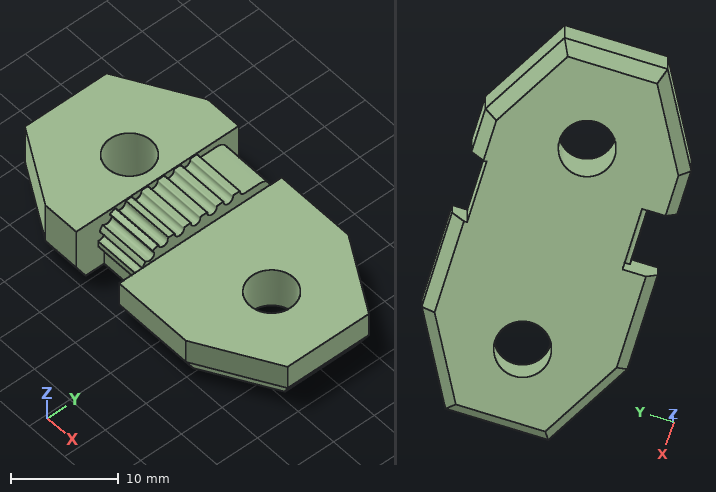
import cadquery as cq
import math

length = 37.1
width = 20.0
end_flat = 10.0
corner_angle = 30.0
corner_run = (width - end_flat) / 2 / math.tan(math.radians(corner_angle))
tall_height = 7.0
low_height = 4.97
bevel_height = 2.0
bevel_angle = 30.0
tall_length = 13.0
neck_length = 6.05
neck_start = -length / 2 + tall_length
neck_end = neck_start + neck_length

hole_diameter = 5.35
hole_spacing = 20.07
first_hole_x = -length / 2 + 9.0

tip_z = 6.85
tooth_depth = 0.75
tooth_pitch = 2.0
groove_radius = 0.55
tip_fillet = 0.15
groove_count = 9
first_groove_y = 5.45
tip_front_y = -7.3
wrap_radius = 3.0
neck_back_y = 8.55
back_radius = 1.3
root_z = tip_z - tooth_depth
wrap_center_y = tip_front_y + wrap_radius
wrap_center_z = tip_z - wrap_radius
wrap_lip_drop = 0.035


def hexagon_body():
    """Hexagonal plate whose lower rim tapers inward towards the bottom."""
    half_length = length / 2
    half_flat = end_flat / 2
    half_width = width / 2
    shoulder = half_length - corner_run
    outline = [
        (-half_length, -half_flat),
        (-shoulder, -half_width),
        (shoulder, -half_width),
        (half_length, -half_flat),
        (half_length, half_flat),
        (shoulder, half_width),
        (-shoulder, half_width),
        (-half_length, half_flat),
    ]
    rim = cq.Workplane("XY", origin=(0, 0, bevel_height)).polyline(outline).close()
    upper = rim.extrude(tall_height - bevel_height)
    rim = cq.Workplane("XY", origin=(0, 0, bevel_height)).polyline(outline).close()
    lower = rim.extrude(-bevel_height, taper=bevel_angle)
    return upper.union(lower)


def block(x_start, x_end, y_start, y_end, z_start, z_end):
    """Axis-aligned box given by its limits."""
    size = (x_end - x_start, y_end - y_start, z_end - z_start)
    return cq.Workplane("XY").box(*size, centered=False).translate((x_start, y_start, z_start))


def groove_place(distance):
    """Y, Z and tilt of the tooth tip surface at a distance from the first groove."""
    top_run = first_groove_y - wrap_center_y
    wrap_run = wrap_radius * math.pi / 2
    if distance <= top_run:
        return first_groove_y - distance, tip_z, 0.0
    if distance <= top_run + wrap_run:
        angle = (distance - top_run) / wrap_radius
        y = wrap_center_y - wrap_radius * math.sin(angle)
        z = wrap_center_z + wrap_radius * math.cos(angle)
        return y, z, math.degrees(angle)
    return tip_front_y, wrap_center_z - (distance - top_run - wrap_run), 90.0


def groove_cutter(lip_drop):
    """Round-bottomed groove along X, its rounded lips ending lip_drop below Z = 0."""
    lip = groove_radius + tip_fillet
    lip_mid = tip_fillet * (1 - math.sqrt(0.5))
    lip_z = -lip_drop
    groove_center_z = groove_radius - tooth_depth
    clearance = tip_fillet
    return (
        cq.Workplane("YZ", origin=(neck_start, 0, 0))
        .moveTo(-lip, clearance)
        .lineTo(-lip, lip_z)
        .threePointArc((-groove_radius - lip_mid, lip_z - lip_mid), (-groove_radius, lip_z - tip_fillet))
        .lineTo(-groove_radius, groove_center_z)
        .threePointArc((0, -tooth_depth), (groove_radius, groove_center_z))
        .lineTo(groove_radius, lip_z - tip_fillet)
        .threePointArc((groove_radius + lip_mid, lip_z - lip_mid), (lip, lip_z))
        .lineTo(lip, clearance)
        .close()
        .extrude(neck_length)
    )


def toothed_neck():
    """Neck with a flat belt seat, then teeth that wrap down over its front edge."""
    neck = block(neck_start, neck_end, tip_front_y, neck_back_y, 0, tip_z)
    neck = neck.edges("|X and >Z and <Y").fillet(wrap_radius)

    neck = neck.cut(block(neck_start, neck_end, first_groove_y, neck_back_y, root_z, tip_z))
    neck = neck.edges("|X and >Y").edges(">Z").fillet(back_radius)

    last_groove_z = groove_place((groove_count - 1) * tooth_pitch)[1]
    wall_y = tip_front_y + tooth_depth
    neck = neck.cut(block(neck_start, neck_end, tip_front_y, wall_y, 0, last_groove_z))

    for index in range(groove_count):
        y, z, tilt = groove_place(index * tooth_pitch)
        on_wrap = 0 < tilt < 90
        cutter = groove_cutter(wrap_lip_drop if on_wrap else 0).rotate((0, 0, 0), (1, 0, 0), tilt)
        neck = neck.cut(cutter.translate((0, y, z)))
    return neck


half_y = width / 2
result = hexagon_body()
result = result.cut(block(neck_start, neck_end, -half_y, half_y, 0, tall_height))
result = result.cut(block(neck_end, length / 2, -half_y, half_y, low_height, tall_height))
result = result.union(toothed_neck())

for hole_x in (first_hole_x, first_hole_x + hole_spacing):
    hole = cq.Workplane("XY").center(hole_x, 0).circle(hole_diameter / 2).extrude(tall_height)
    result = result.cut(hole)